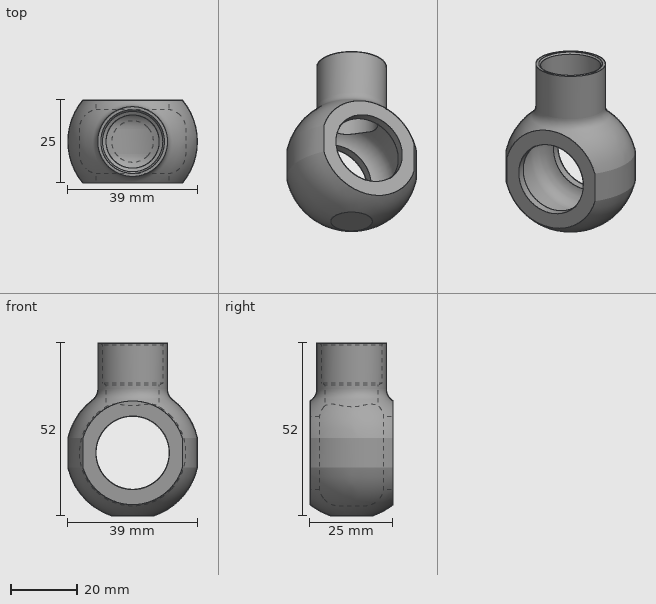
import cadquery as cq
import math

ball_radius = 20.0
girth_radius = 19.5
body_width = 25.0
bottom_z = -19.0

neck_radius = 21.0 / 2
neck_top_z = 33.0
neck_fillet_radius = 4.0

socket_radius = 18.15 / 2
socket_chamfer = 0.5
socket_floor_z = 21.0
passage_radius = 16.0 / 2
passage_cone_angle = 30.0

bore_radius = 22.0 / 2
chamber_radius = 16.0
chamber_straight_half_width = 3.75
chamber_corner_radius = 6.0


def make_body():
    """Ball with its girth, sides and bottom trimmed."""
    ball = cq.Workplane("XY").sphere(ball_radius)
    envelope_height = ball_radius - bottom_z
    girth = cq.Workplane("XY").workplane(offset=bottom_z).circle(girth_radius).extrude(envelope_height)
    slab = cq.Workplane("XY").box(2 * ball_radius, body_width, 2 * ball_radius)
    return ball.intersect(girth).intersect(slab)


def make_neck():
    """Neck revolved about Z, with a concave flare that runs tangent into the ball."""
    flare_center_x = neck_radius + neck_fillet_radius
    flare_center_distance = ball_radius + neck_fillet_radius
    flare_top_z = math.sqrt(flare_center_distance**2 - flare_center_x**2)
    flare_foot_x = flare_center_x * ball_radius / flare_center_distance
    flare_foot_z = flare_top_z * ball_radius / flare_center_distance

    foot_angle = math.atan2(flare_foot_z - flare_top_z, flare_foot_x - flare_center_x)
    middle_angle = (foot_angle - math.pi) / 2
    flare_middle = (
        flare_center_x + neck_fillet_radius * math.cos(middle_angle),
        flare_top_z + neck_fillet_radius * math.sin(middle_angle),
    )
    return (
        cq.Workplane("XZ")
        .lineTo(flare_foot_x, flare_foot_z)
        .threePointArc(flare_middle, (neck_radius, flare_top_z))
        .lineTo(neck_radius, neck_top_z)
        .lineTo(0, neck_top_z)
        .close()
        .revolve(360, (0, 0), (0, 1))
    )


def make_neck_passage():
    """Chamfered socket, cone and narrower passage down to the cross bore."""
    cone_height = (socket_radius - passage_radius) * math.tan(math.radians(passage_cone_angle))
    return (
        cq.Workplane("XZ")
        .lineTo(passage_radius, 0)
        .lineTo(passage_radius, socket_floor_z - cone_height)
        .lineTo(socket_radius, socket_floor_z)
        .lineTo(socket_radius, neck_top_z - socket_chamfer)
        .lineTo(socket_radius + socket_chamfer, neck_top_z)
        .lineTo(0, neck_top_z)
        .close()
        .revolve(360, (0, 0), (0, 1))
    )


def make_cross_bore():
    """Straight bore along Y, widened inside by a chamber whose ends curve inward to meet the bore."""
    corner_center_x = chamber_radius - chamber_corner_radius
    corner_reach = bore_radius - corner_center_x
    chamber_half_width = chamber_straight_half_width + math.sqrt(chamber_corner_radius**2 - corner_reach**2)

    middle_angle = math.acos(corner_reach / chamber_corner_radius) / 2
    middle_x = corner_center_x + chamber_corner_radius * math.cos(middle_angle)
    middle_y = chamber_straight_half_width + chamber_corner_radius * math.sin(middle_angle)

    bore = cq.Workplane("XZ").circle(bore_radius).extrude(body_width / 2, both=True)
    chamber = (
        cq.Workplane("XY")
        .moveTo(0, -chamber_half_width)
        .lineTo(bore_radius, -chamber_half_width)
        .threePointArc((middle_x, -middle_y), (chamber_radius, -chamber_straight_half_width))
        .lineTo(chamber_radius, chamber_straight_half_width)
        .threePointArc((middle_x, middle_y), (bore_radius, chamber_half_width))
        .lineTo(0, chamber_half_width)
        .close()
        .revolve(360, (0, 0), (0, 1))
    )
    return bore.union(chamber)


result = make_body().union(make_neck()).cut(make_neck_passage()).cut(make_cross_bore())